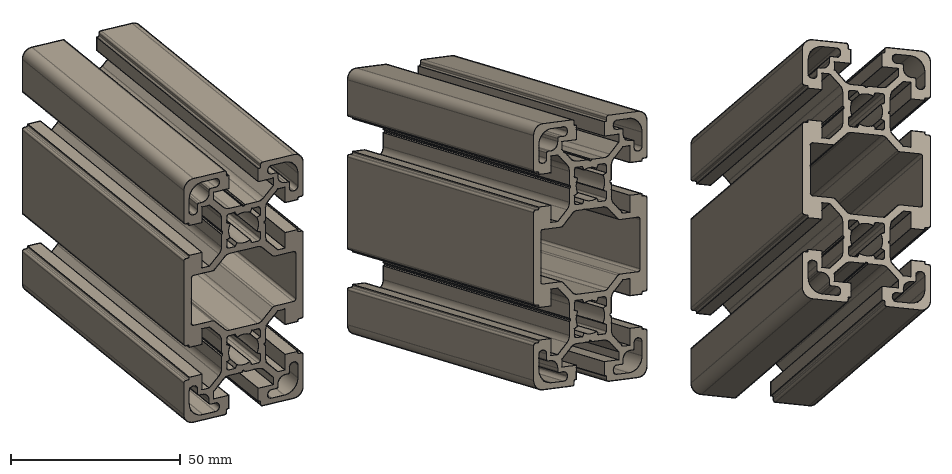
import cadquery as cq
import math


length = 100.0
cell = 40.0
half_cell = cell / 2
corner_radius = 3.2

mouth_half = 4.9
rebate_half = 5.7
rebate_depth = 1.8
rebate_edge_radius = 0.7
rebate_root_radius = 0.4
lip_depth = 6.1
chamber_half = 10.0
strut_offset = 1.5
floor_height = 7.4
floor_radius = 3.0
groove_half = 0.5
groove_bottom_half = 0.2
groove_depth = 0.4
overshoot = 1.0

core_radius = 5.0
pocket_half = 5.6
pocket_radius = 0.8

skin = 1.8
hollow_outer = half_cell - skin
hollow_outer_radius = 4.6
hollow_inner = 11.5
hollow_arm_end = 8.1
hollow_arm_inner = 15.4
hollow_arm_radius = 1.3
hollow_inner_radius = 2.6
hollow_step_radius = 0.4

side_wall = 2.5
cavity_half_width = half_cell - side_wall
cavity_half_height = 8.2
cavity_radius = 0.8
cavity_shoulder_radius = 1.0
cavity_roof_radius = 2.2

floor_half = floor_height - strut_offset
shoulder_height = chamber_half + strut_offset

cell_centres = (-half_cell, half_cell)


def rounded_prism(corners):
    """Extrude a closed outline of (y, z, corner radius) points along the full length."""
    arcs = []
    for index, (y, z, radius) in enumerate(corners):
        here = cq.Vector(y, z)
        to_previous = (cq.Vector(*corners[index - 1][:2]) - here).normalized()
        to_next = (cq.Vector(*corners[(index + 1) % len(corners)][:2]) - here).normalized()
        if radius == 0:
            arcs.append((here,))
            continue
        half_angle = to_previous.getAngle(to_next) / 2
        setback = radius / math.tan(half_angle)
        bulge = radius / math.sin(half_angle) - radius
        middle = here + (to_previous + to_next).normalized() * bulge
        arcs.append((here + to_previous * setback, middle, here + to_next * setback))

    outline = cq.Workplane("YZ").moveTo(*arcs[0][-1].toTuple()[:2])
    for arc in arcs[1:] + arcs[:1]:
        outline = outline.lineTo(*arc[0].toTuple()[:2])
        if len(arc) > 1:
            outline = outline.threePointArc(arc[1].toTuple()[:2], arc[2].toTuple()[:2])
    return outline.close().extrude(length / 2, both=True)


def mirrored(half_outline):
    """Complete an outline that is symmetric about the vertical axis."""
    return half_outline + [(-y, z, radius) for y, z, radius in reversed(half_outline)]


def box_outline(half_width, half_height, radius):
    return mirrored([(half_width, -half_height, radius), (half_width, half_height, radius)])


def slot():
    """T-slot opening upwards, with a marking groove along the middle of its floor."""
    overshoot_half = rebate_half + 2 * rebate_edge_radius
    right_half = [
        (groove_bottom_half, floor_height - groove_depth, 0),
        (groove_half, floor_height, 0),
        (floor_half, floor_height, floor_radius),
        (chamber_half, shoulder_height, 0),
        (chamber_half, half_cell - lip_depth, 0),
        (mouth_half, half_cell - lip_depth, 0),
        (mouth_half, half_cell - rebate_depth, 0),
        (rebate_half, half_cell - rebate_depth, rebate_root_radius),
        (rebate_half, half_cell, rebate_edge_radius),
        (overshoot_half, half_cell, 0),
        (overshoot_half, half_cell + overshoot, 0),
    ]
    return rounded_prism(mirrored(right_half))


def bore():
    """Round screw core with four pockets reaching into the corners of the cell."""
    cutter = cq.Workplane("YZ").circle(core_radius).extrude(length / 2, both=True)
    pocket = rounded_prism([
        (0, 0, 0),
        (pocket_half, pocket_half / 2, 0),
        (pocket_half, pocket_half, pocket_radius),
        (pocket_half / 2, pocket_half, 0),
    ])
    for quarter in range(4):
        cutter = cutter.union(turned(pocket, 90 * quarter))
    return cutter


def corner_hollow():
    """L-shaped hollow in the +Y +Z corner, rounded inside and out."""
    arm = [
        (hollow_arm_end, hollow_outer, hollow_arm_radius),
        (hollow_arm_end, hollow_arm_inner, hollow_arm_radius),
        (hollow_inner, hollow_arm_inner, hollow_step_radius),
    ]
    other_arm = [(z, y, radius) for y, z, radius in reversed(arm)]
    inner_corner = [(hollow_inner, hollow_inner, hollow_inner_radius)]
    outer_corner = [(hollow_outer, hollow_outer, hollow_outer_radius)]
    return rounded_prism(arm + inner_corner + other_arm + outer_corner)


def cavity():
    """Central chamber, widened towards both cells along 45 degree walls."""
    roof_height = half_cell - floor_height
    roof_half = chamber_half - (roof_height - cavity_half_height)
    upper_half = [
        (cavity_half_width, cavity_half_height, cavity_radius),
        (chamber_half, cavity_half_height, cavity_shoulder_radius),
        (roof_half, roof_height, cavity_roof_radius),
    ]
    lower_half = [(y, -z, radius) for y, z, radius in reversed(upper_half)]
    return rounded_prism(mirrored(lower_half + upper_half))


def turned(solid, angle):
    return solid.rotate((0, 0, 0), (1, 0, 0), angle)


result = rounded_prism(box_outline(half_cell, cell, corner_radius)).cut(cavity())

for centre in cell_centres:
    outward = 0 if centre > 0 else 180
    cutters = [turned(slot(), outward + angle) for angle in (-90, 0, 90)]
    cutters += [turned(corner_hollow(), outward + angle) for angle in (0, 90)]
    cutters.append(bore())
    for cutter in cutters:
        result = result.cut(cutter.translate((0, 0, centre)))